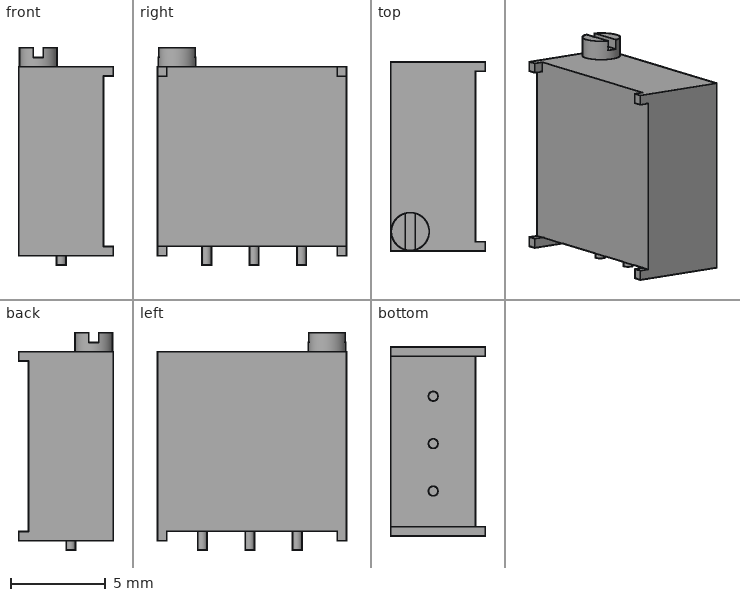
import cadquery as cq

width = 5.0
depth = 10.0
height = 10.0
foot = 0.5

screw_diameter = 2.0
screw_height = 1.0
screw_inset = 0.03
slot_size = 0.5

pin_diameter = 0.5
pin_pitch = 2.5
pin_shift = 0.11
pin_drop = 11.49 - height - screw_height

core_width = width - foot
overlap = 0.11


def box(x, y, z, dx, dy, dz):
    """Box with its lowest corner at (x, y, z)."""
    return cq.Workplane("XY").box(dx, dy, dz, centered=False).translate((x, y, z))


def make_body():
    body = box(0, 0, foot, core_width, depth, height - foot)
    for y in (0, depth - foot):
        body = body.union(box(0, y, 0, core_width, foot, foot))
        for z in (0, height - foot):
            body = body.union(box(core_width, y, z, foot, foot, foot))
    return body


def make_screw():
    center = screw_inset + screw_diameter / 2
    screw = (
        cq.Workplane("XY", origin=(center, center, height))
        .circle(screw_diameter / 2)
        .extrude(screw_height)
    )
    slot = box(
        center - slot_size / 2,
        center - screw_diameter / 2,
        height + screw_height - slot_size,
        slot_size,
        screw_diameter,
        slot_size,
    )
    return screw.cut(slot)


def make_pins():
    middle = depth / 2 + pin_shift
    return (
        cq.Workplane("XY", origin=(core_width / 2, middle, -pin_drop))
        .pushPoints([(0, step * pin_pitch) for step in (-1, 0, 1)])
        .circle(pin_diameter / 2)
        .extrude(pin_drop + foot + overlap)
    )


result = make_body().union(make_screw()).union(make_pins())